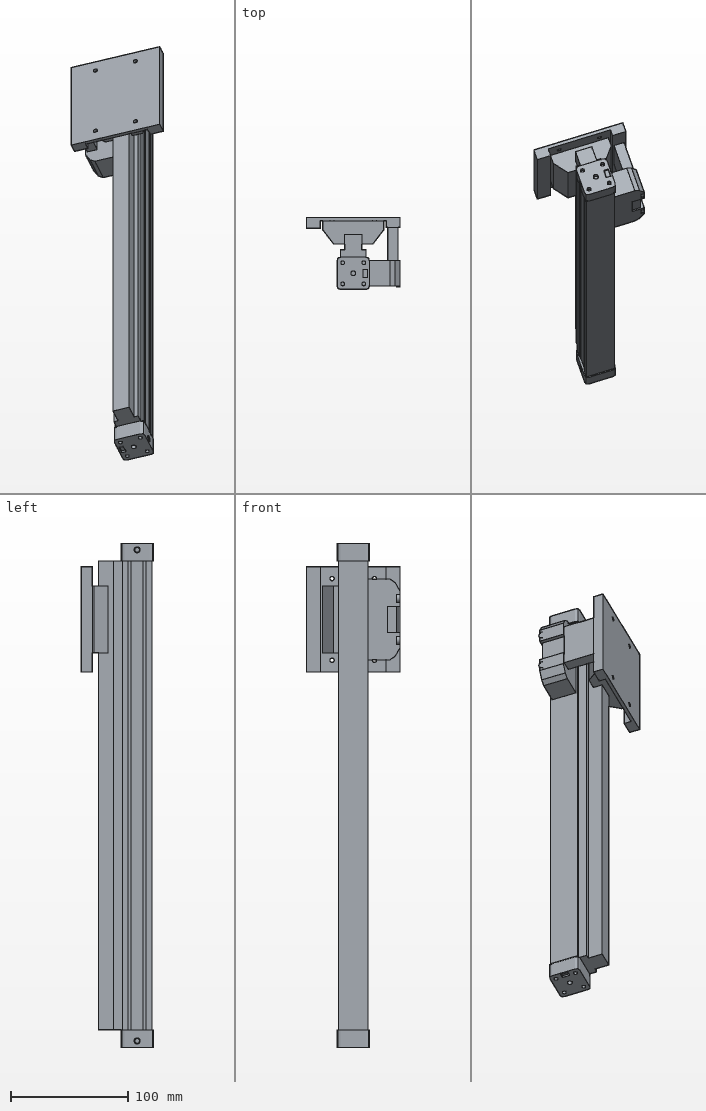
import cadquery as cq

total_length = 430.0
total_depth = 61.5
cap_length = 15.0
cap_width = 27.5
cap_corner_width = 26.2
cap_flat_width = 21.5
barrel_length = total_length - 2 * cap_length
barrel_width = 25.5

groove_mouth_width = 15.5
groove_mouth_depth = 0.5
groove_floor_width = 10.5
groove_floor_depth = 1.0

rail_base_width = 22.0
rail_base_top = 20.0
rail_width = 14.5
rail_top = 33.0

cap_screw_diameter = 3.22
cap_screw_offset = 9.0
cap_center_diameter = 4.13
cap_end_hole_depth = 4.5
cap_side_hole_diameter = 4.13
cap_side_hole_depth = 4.5
cap_side_recess_diameter = 5.0
cap_side_recess_depth = 1.0
cap_side_hole_inset = 5.5

cap_pocket_length = 7.0
cap_pocket_width = 4.0
cap_pocket_depth = 2.0
cap_pocket_x = 10.5

carriage_z = 150.0
plate_width = 80.0
plate_height = 90.0
plate_back = total_depth - cap_width / 2
left_flange_thickness = 9.5
right_flange_thickness = 8.5
web_thickness = 3.0
channel_width = 56.0
plate_hole_diameter = 3.5
plate_hole_x = 18.0
plate_hole_z = 35.0

runner_height = 57.0
runner_back_width = 52.0
runner_front_width = 33.5
runner_depth = 19.8
runner_bevel_depth = 12.0

arm_inner = 29.2
arm_outer = 38.3
arm_height = 43.0

box_outer = plate_width / 2
box_thickness = 22.0
box_height = 69.0
box_bevel_start = 31.5
box_bevel_middle = 35.5
box_bevel_middle_drop = 3.0
box_bevel_end_drop = 10.5

window_inner = 29.2
window_height = 22.0
window_depth = 1.5
notch_bottom = 37.0

knob_diameter = 7.0
knob_spacing = 35.5
knob_protrusion = 1.0


def block(x_range, y_range, z_range):
    """Box spanning the given ranges."""
    sizes = [high - low for low, high in (x_range, y_range, z_range)]
    return cq.Workplane("XY").box(*sizes, centered=False).translate((x_range[0], y_range[0], z_range[0]))


def centered(size, middle=0.0):
    """Range of a given size about a middle value."""
    return (middle - size / 2, middle + size / 2)


def make_barrel():
    """Solid square barrel with a stepped groove along its -X side."""
    length = centered(barrel_length)
    side = -barrel_width / 2
    barrel = block(centered(barrel_width), centered(barrel_width), length)
    for width, depth in (
        (groove_mouth_width, groove_mouth_depth),
        (groove_floor_width, groove_floor_depth),
    ):
        barrel = barrel.cut(block((side, side + depth), centered(width), length))
    return barrel


def make_rail():
    """Guide rail standing on a wider base on the back of the barrel."""
    length = centered(barrel_length)
    barrel_back = barrel_width / 2
    base = block(centered(rail_base_width), (barrel_back, rail_base_top), length)
    return base.union(block(centered(rail_width), (rail_base_top, rail_top), length))


def make_cap_blank():
    """Plain top cap: flat sides that slope slightly inward to sharp corners."""
    face = cap_width / 2
    flat = cap_flat_width / 2
    corner = cap_corner_width / 2
    outline = [
        (flat, -face),
        (corner, -corner),
        (face, -flat),
        (face, flat),
        (corner, corner),
        (flat, face),
        (-flat, face),
        (-corner, corner),
        (-face, flat),
        (-face, -flat),
        (-corner, -corner),
        (-flat, -face),
    ]
    bottom = barrel_length / 2
    return cq.Workplane("XY", origin=(0, 0, bottom)).polyline(outline).close().extrude(cap_length)


def cap_end_cuts():
    """Four screw holes, a center hole and a pocket sunk into the top end face."""
    end = total_length / 2
    floor = cq.Workplane("XY", origin=(0, 0, end - cap_end_hole_depth))
    screw_spacing = 2 * cap_screw_offset
    screws = floor.rect(screw_spacing, screw_spacing, forConstruction=True).vertices()
    cuts = screws.circle(cap_screw_diameter / 2).extrude(cap_end_hole_depth)
    center_hole = floor.circle(cap_center_diameter / 2).extrude(cap_end_hole_depth)
    pocket = block(
        centered(cap_pocket_width, cap_pocket_x),
        centered(cap_pocket_length),
        (end - cap_pocket_depth, end),
    )
    return cuts.union(center_hole).union(pocket)


def cap_side_cuts():
    """Counterbored hole in the -X side of the top cap."""
    side = cq.Workplane("YZ", origin=(-cap_width / 2, 0, total_length / 2 - cap_side_hole_inset))
    recess = side.circle(cap_side_recess_diameter / 2).extrude(cap_side_recess_depth)
    hole = side.circle(cap_side_hole_diameter / 2).extrude(cap_side_hole_depth)
    return recess.union(hole)


def make_actuator():
    """Barrel, rail and both end caps as one fixed body."""
    top_cap = make_cap_blank().cut(cap_end_cuts()).cut(cap_side_cuts())
    bottom_cap = top_cap.mirror("XY")
    return make_barrel().union(make_rail()).union(top_cap).union(bottom_cap)


def make_plate():
    """Mounting plate: a thin web between two thicker side flanges, with four holes."""
    height = centered(plate_height, carriage_z)
    side = plate_width / 2
    plate = block((-side, side), (plate_back - web_thickness, plate_back), height)
    left = block((-side, -channel_width / 2), (plate_back - left_flange_thickness, plate_back), height)
    right = block((channel_width / 2, side), (plate_back - right_flange_thickness, plate_back), height)
    plate = plate.union(left).union(right)
    holes = (
        cq.Workplane("XZ", origin=(0, plate_back, carriage_z))
        .rect(2 * plate_hole_x, 2 * plate_hole_z, forConstruction=True)
        .vertices()
        .circle(plate_hole_diameter / 2)
        .extrude(web_thickness)
    )
    return plate.cut(holes)


def make_runner():
    """Runner block with bevelled flanks and a slot that fits the rail."""
    back = plate_back - web_thickness
    front = back - runner_depth
    shoulder = front + runner_bevel_depth
    runner = (
        cq.Workplane("XY", origin=(0, 0, carriage_z - runner_height / 2))
        .moveTo(-runner_back_width / 2, back)
        .lineTo(-runner_back_width / 2, shoulder)
        .lineTo(-runner_front_width / 2, front)
        .lineTo(runner_front_width / 2, front)
        .lineTo(runner_back_width / 2, shoulder)
        .lineTo(runner_back_width / 2, back)
        .close()
        .extrude(runner_height)
    )
    slot = block(centered(rail_width), (front, rail_top), centered(runner_height, carriage_z))
    return runner.cut(slot)


def make_sensor_box():
    """Box beside the barrel with bevelled outer corners, a window and two seated knobs."""
    half_height = box_height / 2
    inner = barrel_width / 2
    front = -box_thickness / 2
    box = (
        cq.Workplane("XZ", origin=(0, box_thickness / 2, carriage_z))
        .moveTo(inner, -half_height)
        .lineTo(box_bevel_start, -half_height)
        .lineTo(box_bevel_middle, -half_height + box_bevel_middle_drop)
        .lineTo(box_outer, -half_height + box_bevel_end_drop)
        .lineTo(box_outer, half_height - box_bevel_end_drop)
        .lineTo(box_bevel_middle, half_height - box_bevel_middle_drop)
        .lineTo(box_bevel_start, half_height)
        .lineTo(inner, half_height)
        .close()
        .extrude(box_thickness)
    )
    window_z = centered(window_height, carriage_z)
    box = box.cut(block((window_inner, box_outer), (front, front + window_depth), window_z))
    box = box.cut(block((notch_bottom, box_outer), centered(box_thickness), window_z))
    knob_y = front - knob_protrusion + knob_diameter / 2
    for knob_z in centered(knob_spacing, carriage_z):
        seat_z = centered(knob_diameter, knob_z)
        box = box.cut(block((notch_bottom, box_outer), (front, knob_y), seat_z))
        knob = (
            cq.Workplane("YZ", origin=(notch_bottom, knob_y, knob_z))
            .circle(knob_diameter / 2)
            .extrude(box_outer - notch_bottom)
        )
        box = box.union(knob)
    return box


def make_carriage():
    """Plate, runner, side arm and sensor box as one moving body."""
    arm_y = (box_thickness / 2, plate_back - right_flange_thickness)
    arm = block((arm_inner, arm_outer), arm_y, centered(arm_height, carriage_z))
    return make_plate().union(make_runner()).union(arm).union(make_sensor_box())


actuator = make_actuator()
carriage = make_carriage()
result = cq.Compound.makeCompound([actuator.val(), carriage.val()])